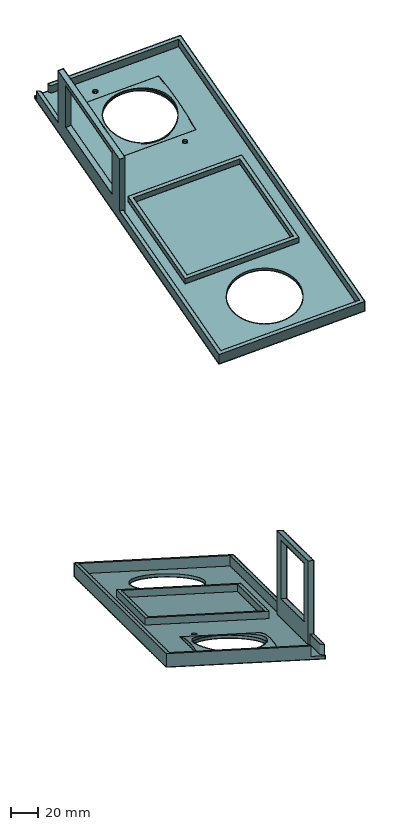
import cadquery as cq

length = 299.0
width = 119.0
tray_height = 10.2
wall = 3.0
floor = 2.5
mid_y = width / 2

opening_length = 10.8
wall_end_radius = 2.7

frame_left = 38.0
frame_width = 100.0
frame_depth = 4.5
frame_top = 65.0
window_width = 74.8
window_bottom = 16.7
window_top = 60.5

pad_x = 53.0
pad_size = 60.5
pad_rise = 3.0
pad_hole_diameter = 55.0

right_hole_x = 254.7
floor_hole_diameter = 56.0

screw_diameter = 4.0
screw_offset_x = 37.0
screw_offset_y = 18.0

ring_x = 171.5
ring_size = 92.7
ring_wall = 3.0
ring_height = 5.5


def block(x, y, z, size_x, size_y, size_z):
    """Box with its lowest corner at (x, y, z)."""
    return cq.Workplane("XY").box(size_x, size_y, size_z, centered=False).translate((x, y, z))


def vertical_cylinder(x, y, diameter, height):
    """Cylinder that rises from the underside of the tray."""
    return cq.Workplane("XY").center(x, y).circle(diameter / 2).extrude(height)


def make_shell():
    """Open tray with the front-left corner of its wall removed and the wall ends rounded."""
    shell = block(0, 0, 0, length, width, tray_height)
    shell = shell.cut(block(wall, wall, floor, length - 2 * wall, width - 2 * wall, tray_height))
    shell = shell.cut(block(0, 0, floor, wall, opening_length, tray_height))
    for end_y in (wall, opening_length):
        end_edge = cq.selectors.NearestToPointSelector((wall, end_y, (floor + tray_height) / 2))
        shell = shell.edges(end_edge).fillet(wall_end_radius)
    return shell


def make_window_frame():
    frame = block(frame_left, 0, floor, frame_width, frame_depth, frame_top - floor)
    window_left = frame_left + (frame_width - window_width) / 2
    window = block(window_left, 0, window_bottom, window_width, frame_depth, window_top - window_bottom)
    return frame.cut(window)


def make_ring():
    """Square rim that stands on the tray floor."""
    ring_opening = ring_size - 2 * ring_wall
    return (
        cq.Workplane("XY", origin=(ring_x, mid_y, floor))
        .rect(ring_size, ring_size)
        .rect(ring_opening, ring_opening)
        .extrude(ring_height)
    )


def make_tray():
    tray = make_shell().union(make_window_frame()).union(make_ring())
    for hole_x in (pad_x, right_hole_x):
        tray = tray.cut(vertical_cylinder(hole_x, mid_y, floor_hole_diameter, floor))
    for side in (-1, 1):
        screw_x = pad_x + side * screw_offset_x
        screw_y = mid_y + side * screw_offset_y
        tray = tray.cut(vertical_cylinder(screw_x, screw_y, screw_diameter, floor))
    return tray


def make_pad():
    """Square pad with an arched top along X, pierced by a round hole."""
    half = pad_size / 2
    pad = (
        cq.Workplane("XZ", origin=(pad_x, mid_y, floor))
        .moveTo(-half, 0)
        .threePointArc((0, pad_rise), (half, 0))
        .close()
        .extrude(half, both=True)
    )
    return pad.cut(vertical_cylinder(pad_x, mid_y, pad_hole_diameter, floor + pad_rise))


tray = make_tray()
pad = make_pad()
result = cq.Compound.makeCompound([tray.val(), pad.val()])